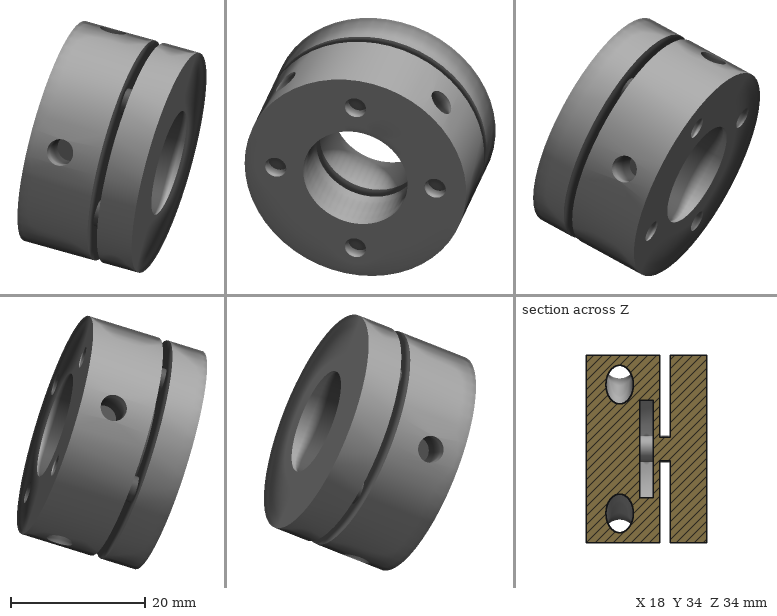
import cadquery as cq

outer_diameter = 34.0
total_length = 18.0
bore_diameter = 16.0

slot_start = 11.0
slot_end = 12.5
sleeve_diameter = 19.5

relief_start = 8.0
relief_end = 10.0
relief_diameter = 24.0

screw_count = 4
screw_diameter = 4.0
screw_circle_diameter = 24.48
access_diameter = 3.25
access_depth = 2.0

spanner_count = 4
spanner_diameter = 4.0
spanner_position = 5.0
spanner_depth = 6.8
spanner_first_angle = 45.0


def cylinder_x(diameter, start, end):
    """Solid cylinder on the X axis from X = start to X = end."""
    return cq.Workplane("YZ", origin=(start, 0, 0)).circle(diameter / 2).extrude(end - start)


def axial_cylinders(diameter, start, end):
    """Ring of separate cylinders parallel to X, one at each screw position."""
    return (
        cq.Workplane("YZ", origin=(start, 0, 0))
        .polarArray(screw_circle_diameter / 2, 0, 360, screw_count)
        .circle(diameter / 2)
        .extrude(end - start)
    )


def make_turned_blank():
    """Bored cylinder with the outer slot and the internal relief groove."""
    blank = cylinder_x(outer_diameter, 0, total_length)
    slot = cylinder_x(outer_diameter, slot_start, slot_end).cut(
        cylinder_x(sleeve_diameter, slot_start, slot_end)
    )
    bore = cylinder_x(bore_diameter, 0, total_length)
    relief = cylinder_x(relief_diameter, relief_start, relief_end)
    return blank.cut(slot).cut(bore).cut(relief)


def make_spanner_hole(angle):
    """Blind radial hole cutter, turned about the X axis by angle degrees."""
    hole = (
        cq.Workplane("XY", origin=(spanner_position, 0, outer_diameter / 2 - spanner_depth))
        .circle(spanner_diameter / 2)
        .extrude(spanner_depth)
    )
    return hole.rotate((0, 0, 0), (1, 0, 0), angle)


def make_nut():
    """Slotted nut body with its screw, access and spanner holes."""
    nut = make_turned_blank()
    nut = nut.cut(axial_cylinders(access_diameter, 0, access_depth))
    nut = nut.cut(axial_cylinders(screw_diameter, access_depth, total_length))
    for index in range(spanner_count):
        angle = spanner_first_angle + index * 360 / spanner_count
        nut = nut.cut(make_spanner_hole(angle))
    return nut


def make_screws():
    """Plain screws filling the screw holes, flush with the far face."""
    return axial_cylinders(screw_diameter, access_depth, total_length)


nut = make_nut()
screws = make_screws()

result = cq.Compound.makeCompound([nut.val(), *screws.vals()])